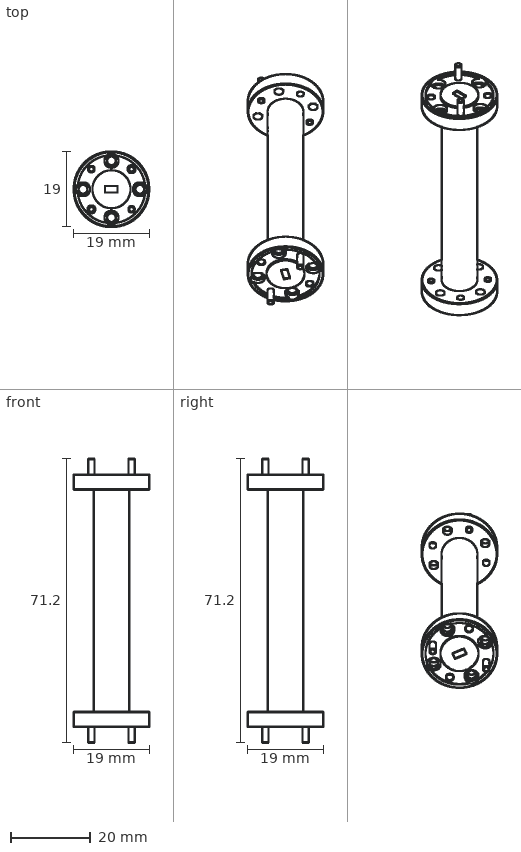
import cadquery as cq
import math

overall_length = 71.25
flange_diameter = 19.0
flange_thickness = 3.9
tube_diameter = 9.0
pin_protrusion = 3.9

boss_diameter = 9.55
rim_inner_diameter = 17.0
recess_depth = 0.5
flange_chamfer = 0.2

opening_width = 3.1
opening_height = 1.6
opening_depth = 0.3

bolt_circle_radius = 7.1
screw_hole_diameter = 2.2
counterbore_diameter = 3.5
counterbore_depth = 1.65
pin_diameter = 1.65
pin_chamfer = 0.2
alignment_hole_diameter = 1.7
alignment_hole_mouth = 2.0

flange_face = overall_length / 2 - pin_protrusion
flange_back = flange_face - flange_thickness
recess_floor = flange_face - recess_depth

screw_angles = [0, 90, 180, 270]
pin_angles = [135, 315]
alignment_angles = [45, 225]


def on_bolt_circle(angles):
    """Points on the bolt circle at the given angles in degrees."""
    return [
        (bolt_circle_radius * math.cos(math.radians(a)), bolt_circle_radius * math.sin(math.radians(a)))
        for a in angles
    ]


def cylinders(points, diameter, bottom, top):
    """Upright cylinders of one diameter between two heights."""
    return cq.Workplane("XY", origin=(0, 0, bottom)).pushPoints(points).circle(diameter / 2).extrude(top - bottom)


def to_lower_end(shape):
    """Half turn about X, which carries the upper end onto the lower end."""
    return shape.rotate((0, 0, 0), (1, 0, 0), 180)


def make_alignment_cutter(point):
    """Straight hole through the flange that flares at 45 degrees up to the recess floor."""
    hole_radius = alignment_hole_diameter / 2
    mouth_radius = alignment_hole_mouth / 2
    flare_start = recess_floor - (mouth_radius - hole_radius)
    profile = (
        cq.Workplane("XZ")
        .moveTo(0, flange_back)
        .lineTo(hole_radius, flange_back)
        .lineTo(hole_radius, flare_start)
        .lineTo(mouth_radius, recess_floor)
        .lineTo(0, recess_floor)
        .close()
    )
    return profile.revolve(360, (0, 0, 0), (0, 1, 0)).translate((*point, 0))


def make_flange():
    """Upper flange with its face recess, waveguide opening and holes."""
    flange = cylinders([(0, 0)], flange_diameter, flange_back, flange_face)
    flange = flange.faces("<Z or >Z").edges().chamfer(flange_chamfer)

    recess = cylinders([(0, 0)], rim_inner_diameter, recess_floor, flange_face)
    boss = cylinders([(0, 0)], boss_diameter, recess_floor, flange_face)
    flange = flange.cut(recess.cut(boss))

    opening = (
        cq.Workplane("XY", origin=(0, 0, flange_face))
        .rect(opening_width, opening_height)
        .extrude(-opening_depth)
    )
    flange = flange.cut(opening)

    screw_points = on_bolt_circle(screw_angles)
    flange = flange.cut(cylinders(screw_points, screw_hole_diameter, flange_back, flange_face))
    flange = flange.cut(cylinders(screw_points, counterbore_diameter, flange_face - counterbore_depth, flange_face))

    flange = flange.cut(cylinders(on_bolt_circle(pin_angles), pin_diameter, flange_back, flange_face))

    for point in on_bolt_circle(alignment_angles):
        flange = flange.cut(make_alignment_cutter(point))
    return flange


def make_housing():
    """Tube with a flange on each end."""
    upper_flange = make_flange()
    tube = cylinders([(0, 0)], tube_diameter, -flange_back, flange_back)
    return tube.union(upper_flange).union(to_lower_end(upper_flange))


def make_pin(point):
    """Upper pin, level with the back of the flange and chamfered at both ends."""
    pin = cylinders([point], pin_diameter, flange_back, overall_length / 2)
    return pin.faces("<Z or >Z").edges().chamfer(pin_chamfer)


housing = make_housing()
pins = []
for pin_point in on_bolt_circle(pin_angles):
    upper_pin = make_pin(pin_point)
    pins.append(upper_pin.val())
    pins.append(to_lower_end(upper_pin).val())

result = cq.Compound.makeCompound([housing.val(), *pins])